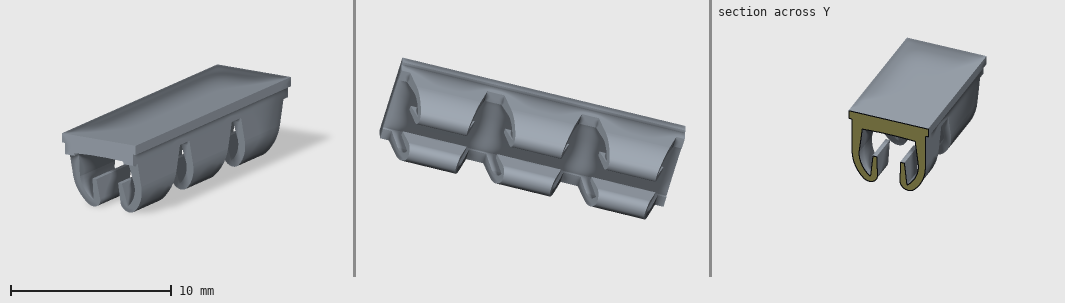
import cadquery as cq
import math

clip_pitch = 6.1
clip_count = 3
length = clip_pitch * clip_count

cap_half_width = 2.7
cap_thickness = 0.6

body_half_width = 2.5
rail_bottom_z = -1.33
ceiling_center_z = -1.1
ceiling_edge_z = -1.16
channel_half_width = 1.78

leg_thickness = 0.5
bend_z = -2.93
bottom_z = -4.9
tip_radius = 0.58
hook_top_inner_x = 0.795
hook_top_outer_x = 1.08
hook_root_x = 1.25

clip_root_length = 5.0
clip_taper_angle = 15

outer_radius = body_half_width
inner_radius = outer_radius - leg_thickness
tip_center_z = bottom_z + tip_radius
tip_center_distance = outer_radius - tip_radius
tip_center_x = math.sqrt(tip_center_distance**2 - (bend_z - tip_center_z) ** 2)


def point_on_bend(radius, angle):
    """Point on an arc around the bend axis, angle measured below +X."""
    return (radius * math.cos(angle), bend_z - radius * math.sin(angle))


def point_on_tip(angle):
    """Point on the rounded hook tip, angle measured below +X."""
    return (
        tip_center_x + tip_radius * math.cos(angle),
        tip_center_z - tip_radius * math.sin(angle),
    )


def extrude_along_length(profile):
    """Extrude an XZ profile over the full length, centred on Y = 0."""
    return profile.extrude(length / 2, both=True)


def make_cap():
    profile = (
        cq.Workplane("XZ")
        .moveTo(-cap_half_width, 0)
        .lineTo(cap_half_width, 0)
        .lineTo(cap_half_width, -cap_thickness)
        .lineTo(-cap_half_width, -cap_thickness)
        .close()
    )
    return extrude_along_length(profile)


def make_body():
    """Block below the cap with the shallow arched channel ceiling."""
    profile = (
        cq.Workplane("XZ")
        .moveTo(-body_half_width, -cap_thickness)
        .lineTo(body_half_width, -cap_thickness)
        .lineTo(body_half_width, ceiling_edge_z)
        .lineTo(channel_half_width, ceiling_edge_z)
        .threePointArc((0, ceiling_center_z), (-channel_half_width, ceiling_edge_z))
        .lineTo(-body_half_width, ceiling_edge_z)
        .close()
    )
    return extrude_along_length(profile)


def make_leg():
    """Hooked leg on the +X side, running the full length."""
    blend_angle = math.atan2(bend_z - tip_center_z, tip_center_x)
    root_angle = math.acos(hook_root_x / inner_radius)

    corner_dx = hook_top_inner_x - tip_center_x
    corner_dz = bend_z - tip_center_z
    corner_distance = math.hypot(corner_dx, corner_dz)
    corner_angle = math.atan2(-corner_dz, corner_dx)
    tangent_angle = corner_angle - math.acos(tip_radius / corner_distance) + 2 * math.pi

    profile = (
        cq.Workplane("XZ")
        .moveTo(channel_half_width, ceiling_edge_z)
        .lineTo(body_half_width, ceiling_edge_z)
        .lineTo(body_half_width, bend_z)
        .threePointArc(
            point_on_bend(outer_radius, blend_angle / 2),
            point_on_bend(outer_radius, blend_angle),
        )
        .threePointArc(
            point_on_tip((blend_angle + tangent_angle) / 2),
            point_on_tip(tangent_angle),
        )
        .lineTo(hook_top_inner_x, bend_z)
        .lineTo(hook_top_outer_x, bend_z)
        .lineTo(*point_on_bend(inner_radius, root_angle))
        .threePointArc(
            point_on_bend(inner_radius, root_angle / 2),
            point_on_bend(inner_radius, 0),
        )
        .close()
    )
    return extrude_along_length(profile)


def make_clip_envelope():
    """Side outline that keeps the rails and splits the legs into tapered clips."""
    half_root = clip_root_length / 2
    end_inset = (rail_bottom_z - bottom_z) * math.tan(math.radians(clip_taper_angle))
    half_bottom = half_root - end_inset
    envelope = (
        cq.Workplane("YZ")
        .moveTo(-length / 2, 0)
        .lineTo(length / 2, 0)
        .lineTo(length / 2, rail_bottom_z)
        .lineTo(-length / 2, rail_bottom_z)
        .close()
        .extrude(cap_half_width, both=True)
    )
    for index in range(clip_count):
        center_y = (index - (clip_count - 1) / 2) * clip_pitch
        clip = (
            cq.Workplane("YZ")
            .moveTo(center_y - half_root, rail_bottom_z)
            .lineTo(center_y + half_root, rail_bottom_z)
            .lineTo(center_y + half_bottom, bottom_z)
            .lineTo(center_y - half_bottom, bottom_z)
            .close()
            .extrude(cap_half_width, both=True)
        )
        envelope = envelope.union(clip)
    return envelope


leg = make_leg()
strip = make_cap().union(make_body()).union(leg).union(leg.mirror("YZ"))
result = strip.intersect(make_clip_envelope()).clean()